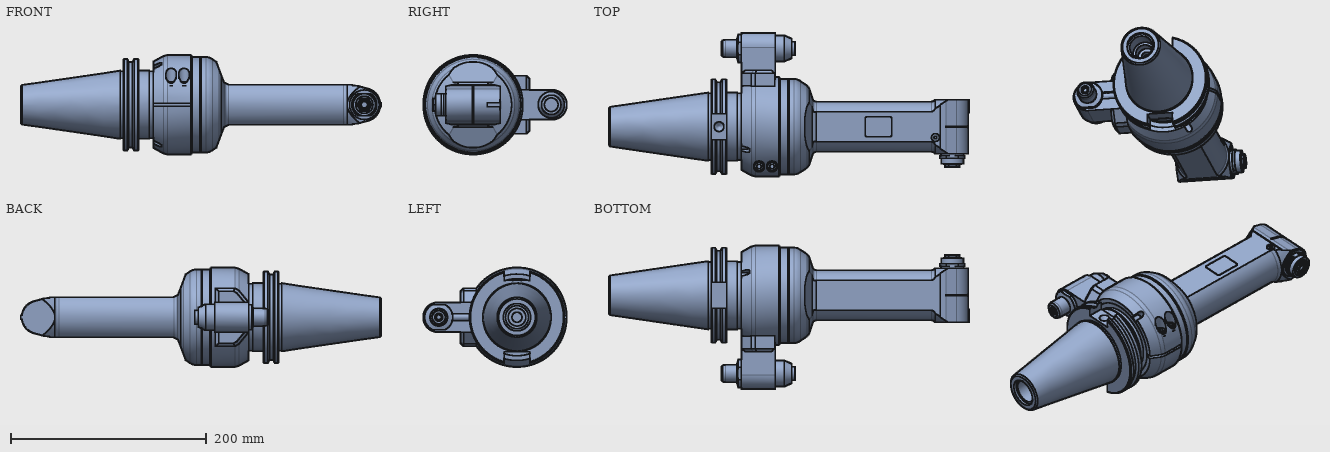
import cadquery as cq
import math


total_length = 368.5
taper_length = 101.7
flange_start = 104.5
flange_end = 121.0
relief_start = 131.2
collar_start = 135.5
collar_end = 175.5
tube_start = 212.3
head_start = 333.5

taper_ratio = 7 / 24
gauge_radius = 35.0
taper_tip_radius = gauge_radius - taper_length * taper_ratio / 2
tip_chamfer = 1.5
neck_radius = 35.0
relief_radius = 34.3
flange_radius = 48.5
flange_chamfer = 1.0
vee_center = 112.5
vee_depth = 3.0
vee_floor_width = 3.7
vee_half_mouth = vee_floor_width / 2 + vee_depth * math.tan(math.radians(30))
key_slot_width = 26.0
key_floor_top = 37.5
key_floor_bottom = 35.5
key_dimple_diameter = 10.0
key_dimple_depth = 3.7
drawbar_steps = [(28.0, 3.5), (23.5, 22.0), (18.0, 33.0), (10.5, 40.5)]

collar_radius = 51.05
collar_face_radius = 44.2
collar_shoulder_radius = 49.8
collar_shoulder_x = 145.5
collar_crown_x = 150.0
collar_back_chamfer = 2.0
spigot_radius = 39.5
slit_width = 3.0
screw_xs = (153.5, 167.0)
screw_y = -40.5
screw_pocket_diameter = 11.0
screw_pocket_floor = 19.0
screw_head_diameter = 9.0
screw_head_top = 23.5
screw_socket_size = 5.0
screw_socket_depth = 3.0
mark_width = 6.0
mark_end_x = 144.0
mark_floor_radius = 40.5
mark_angle = 30.0

arm_end_x = 170.3
arm_thickness = 30.5
arm_tip_y = 96.0
arm_round_start_y = 81.5
shoulder_end_x = 169.5
shoulder_y = 58.0
shoulder_half_height = 30.0
shoulder_chamfer = 3.5
shoulder_slope_z = 27.3
arm_rod_radius = 3.7

pin_y = 80.0
pin_tip_x = 115.0
pin_radius = 9.03
pin_tip_radius = 6.5
pin_lead_x, pin_lead_radius = 116.5, 8.5
pin_lead_end_x = 119.0
pin_flange_start = 131.0
pin_flange_cone = 1.5
pin_flange_radius = 14.5
pin_flange_flats = 25.8
pin_socket_steps = [(8.0, 0.7), (5.0, 3.0)]
pin_cap_radius = 13.45
pin_cap_x = 179.5
pin_cone_x = 187.2
pin_cone_radius = 10.0
pin_button_x = 190.5
pin_button_radius = 7.0

bell_radius = 49.0
bell_groove_start = 183.0
bell_groove_width = 1.0
bell_groove_depth = 0.7
bell_round_x = 189.0
bell_cone_x, bell_cone_radius = 195.7, 46.8
bell_cone_end_x, bell_cone_end_radius = 202.5, 42.5
bell_shoulder_x, bell_shoulder_radius = 205.0, 39.5
bell_neck_x = 208.5
bell_neck_radius = 28.5
tube_radius = 25.8
tube_half_height = 20.5
facet_top_x, facet_top_z = 200.0, 43.5
facet_foot_x, facet_foot_z = 208.0, 23.0
plate_x, plate_length, plate_width = 275.5, 27.3, 20.3
plate_corner = 2.0
plate_depth = 0.5

head_half_width = 27.5
head_fillet_length = 3.7
head_cone_end_x = 350.0
head_cone_end_radius = 35.0
head_step_x, head_step_z = 339.0, 20.0
head_bend_x, head_bend_z = 344.5, 19.35
head_nose_center_x = 350.5
head_nose_radius = 17.15
nose_pad_height = 4.5
nose_pad_inner_y = 14.5
seam_width = 1.0
seam_depth = 0.7
cover_screw_x, cover_screw_y = 334.0, -11.0
cover_screw_diameter = 8.0
cover_screw_depth = 1.0
cover_socket_diameter = 3.0
cover_socket_depth = 3.0

recess_radius = 15.0
recess_depth = 0.7

spindle_x = 351.2
spindle_steps = [(11.8, 2.2), (13.0, 2.5), (11.5, 5.5), (9.0, 0.5)]
spindle_flats = 23.0
spindle_seat_radius = 11.8
spindle_seat_depth = 3.7
spindle_hex_diameter = 15.0
spindle_reach = 41.3
spindle_bores = [(12.0, 1.0), (10.0, 2.2), (8.0, 3.5), (6.5, 6.5)]


def revolve_about_x(outline):
    """Turn a closed (x, radius) outline about the X axis."""
    return outline.revolve(360, (0, 0, 0), (1, 0, 0))


def cylinder_x(start, end, radius, y=0.0):
    """Plain cylinder lying along X."""
    return cq.Workplane("YZ", origin=(start, y, 0)).circle(radius).extrude(end - start)


def box_between(x0, x1, y0, y1, z0, z1):
    """Axis-aligned box between two corners."""
    return cq.Workplane("XY").box(x1 - x0, y1 - y0, z1 - z0, centered=False).translate((x0, y0, z0))


def make_shank():
    outline = (
        cq.Workplane("XY")
        .moveTo(0, 0)
        .lineTo(0, taper_tip_radius - tip_chamfer)
        .lineTo(tip_chamfer, taper_tip_radius + tip_chamfer * taper_ratio / 2)
        .lineTo(taper_length, gauge_radius)
        .lineTo(taper_length, relief_radius)
        .lineTo(flange_start, relief_radius)
        .lineTo(flange_start, flange_radius - flange_chamfer)
        .lineTo(flange_start + flange_chamfer, flange_radius)
        .lineTo(vee_center - vee_half_mouth, flange_radius)
        .lineTo(vee_center - vee_floor_width / 2, flange_radius - vee_depth)
        .lineTo(vee_center + vee_floor_width / 2, flange_radius - vee_depth)
        .lineTo(vee_center + vee_half_mouth, flange_radius)
        .lineTo(flange_end - flange_chamfer, flange_radius)
        .lineTo(flange_end, flange_radius - flange_chamfer)
        .lineTo(flange_end, neck_radius)
        .lineTo(relief_start, neck_radius)
        .lineTo(relief_start, relief_radius)
        .lineTo(collar_start, relief_radius)
        .lineTo(collar_start, 0)
        .close()
    )
    shank = revolve_about_x(outline)

    half_slot = key_slot_width / 2
    upper_slot = box_between(flange_start, flange_end, -half_slot, half_slot, key_floor_top, flange_radius)
    lower_slot = box_between(
        flange_start, flange_end, -half_slot, half_slot, -flange_radius, -key_floor_bottom,
    )
    dimple = cq.Workplane(
        cq.Solid.makeCone(
            key_dimple_diameter / 2, 0, key_dimple_depth,
            pnt=cq.Vector((flange_start + flange_end) / 2, 0, key_floor_top), dir=cq.Vector(0, 0, -1),
        )
    )
    shank = shank.cut(upper_slot).cut(lower_slot).cut(dimple)

    for diameter, depth in drawbar_steps:
        shank = shank.cut(cylinder_x(0, depth, diameter / 2))
    return shank


def make_collar_ring():
    outline = (
        cq.Workplane("XY")
        .moveTo(collar_start, 0)
        .lineTo(collar_start, collar_face_radius)
        .lineTo(collar_shoulder_x, collar_shoulder_radius)
        .lineTo(collar_crown_x, collar_radius)
        .lineTo(collar_end - collar_back_chamfer, collar_radius)
        .lineTo(collar_end, collar_radius - collar_back_chamfer)
        .lineTo(collar_end, 0)
        .close()
    )
    return revolve_about_x(outline)


def make_arm():
    """Wide sloped shoulder plus the round-ended arm that carries the locating pin."""
    half = arm_thickness / 2
    shoulder = (
        cq.Workplane("XZ")
        .moveTo(collar_start, -half)
        .lineTo(collar_start, half)
        .lineTo(collar_shoulder_x, shoulder_slope_z)
        .lineTo(collar_crown_x, shoulder_half_height)
        .lineTo(shoulder_end_x, shoulder_half_height)
        .lineTo(shoulder_end_x, -shoulder_half_height)
        .lineTo(collar_crown_x, -shoulder_half_height)
        .lineTo(collar_shoulder_x, -shoulder_slope_z)
        .close()
        .extrude(-shoulder_y)
    )
    shoulder = shoulder.faces(">Y").edges("(not |Z) or >X").chamfer(shoulder_chamfer)

    arm = (
        cq.Workplane("YZ", origin=(collar_start, 0, 0))
        .moveTo(0, -half)
        .lineTo(arm_round_start_y, -half)
        .threePointArc((arm_tip_y, 0), (arm_round_start_y, half))
        .lineTo(0, half)
        .close()
        .extrude(arm_end_x - collar_start)
    )
    return shoulder.union(arm)


def make_collar():
    collar = make_collar_ring().union(make_arm())
    rod_bed = box_between(
        collar_start, collar_start + arm_rod_radius,
        collar_face_radius, pin_y, -arm_rod_radius, arm_rod_radius,
    )
    rod = (
        cq.Workplane("XZ", origin=(collar_start + arm_rod_radius, collar_face_radius, 0))
        .circle(arm_rod_radius)
        .extrude(collar_face_radius - pin_y)
    )
    slit = box_between(
        collar_start, collar_end - collar_back_chamfer,
        -collar_radius, 0, -slit_width / 2, slit_width / 2,
    )
    collar = collar.cut(rod_bed).union(rod).cut(slit)

    for x in screw_xs:
        pocket = (
            cq.Workplane("XY", origin=(x, screw_y, screw_pocket_floor))
            .circle(screw_pocket_diameter / 2)
            .extrude(collar_radius)
        )
        head = (
            cq.Workplane("XY", origin=(x, screw_y, screw_pocket_floor))
            .circle(screw_head_diameter / 2)
            .extrude(screw_head_top - screw_pocket_floor)
        )
        socket = (
            cq.Workplane("XY", origin=(x, screw_y, screw_head_top))
            .polygon(6, screw_socket_size)
            .extrude(-screw_socket_depth)
        )
        collar = collar.cut(pocket).union(head).cut(socket)

    straight = box_between(
        collar_start, mark_end_x - mark_width / 2,
        -mark_width / 2, mark_width / 2, mark_floor_radius, collar_radius,
    )
    round_end = (
        cq.Workplane("XY", origin=(mark_end_x - mark_width / 2, 0, mark_floor_radius))
        .circle(mark_width / 2)
        .extrude(collar_radius - mark_floor_radius)
    )
    index_slot = straight.union(round_end)
    for angle in (mark_angle, 180 - mark_angle):
        collar = collar.cut(index_slot.rotate((0, 0, 0), (1, 0, 0), angle))

    bore = cylinder_x(collar_start, collar_end, spigot_radius)
    return collar.cut(bore).cut(cylinder_x(collar_start, arm_end_x, pin_radius, pin_y))


def make_pin():
    outline = (
        cq.Workplane("XY")
        .moveTo(pin_tip_x, 0)
        .lineTo(pin_tip_x, pin_tip_radius)
        .lineTo(pin_lead_x, pin_lead_radius)
        .lineTo(pin_lead_end_x, pin_radius)
        .lineTo(pin_flange_start, pin_radius)
        .lineTo(pin_flange_start + pin_flange_cone, pin_flange_radius)
        .lineTo(collar_start, pin_flange_radius)
        .lineTo(collar_start, pin_radius)
        .lineTo(arm_end_x, pin_radius)
        .lineTo(arm_end_x, pin_cap_radius)
        .lineTo(pin_cap_x, pin_cap_radius)
        .lineTo(pin_cone_x, pin_cone_radius)
        .lineTo(pin_cone_x, pin_button_radius)
        .lineTo(pin_button_x, pin_button_radius)
        .lineTo(pin_button_x, 0)
        .close()
    )
    pin = revolve_about_x(outline)
    half_flats = pin_flange_flats / 2
    flat = box_between(
        pin_flange_start, collar_start, -pin_flange_radius, pin_flange_radius, half_flats, pin_flange_radius,
    )
    pin = pin.cut(flat).cut(flat.mirror("XY"))
    for diameter, depth in pin_socket_steps:
        pin = pin.cut(cylinder_x(pin_tip_x, pin_tip_x + depth, diameter / 2))
    return pin.translate((0, pin_y, 0))


def make_bell_and_tube():
    """Spigot, bell and round tube, with flats along the top and bottom of the tube."""
    groove_end = bell_groove_start + bell_groove_width
    outline = (
        cq.Workplane("XY")
        .moveTo(collar_start, 0)
        .lineTo(collar_start, spigot_radius)
        .lineTo(collar_end, spigot_radius)
        .lineTo(collar_end, bell_radius)
        .lineTo(bell_groove_start, bell_radius)
        .lineTo(bell_groove_start, bell_radius - bell_groove_depth)
        .lineTo(groove_end, bell_radius - bell_groove_depth)
        .lineTo(groove_end, bell_radius)
        .lineTo(bell_round_x, bell_radius)
        .tangentArcPoint((bell_cone_x, bell_cone_radius), relative=False)
        .lineTo(bell_cone_end_x, bell_cone_end_radius)
        .lineTo(bell_shoulder_x, bell_shoulder_radius)
        .lineTo(bell_neck_x, bell_neck_radius)
        .tangentArcPoint((tube_start, tube_radius), relative=False)
        .lineTo(head_start - head_fillet_length, tube_radius)
        .tangentArcPoint((head_start, head_half_width), relative=False)
        .lineTo(head_start, 0)
        .close()
    )
    body = revolve_about_x(outline)

    flat_outline = (
        cq.Workplane("XZ", origin=(0, -bell_radius, 0))
        .moveTo(facet_top_x, facet_top_z)
        .lineTo(facet_foot_x, facet_foot_z)
        .lineTo(tube_start, tube_half_height)
        .lineTo(total_length, tube_half_height)
        .lineTo(total_length, bell_radius)
        .lineTo(facet_top_x, bell_radius)
        .close()
        .extrude(-2 * bell_radius)
    )
    return body.cut(flat_outline).cut(flat_outline.mirror("XY"))


def make_head():
    """Side outline with a round nose, trimmed by a cone where it meets the tube."""
    nose_end_x = head_nose_center_x + head_nose_radius
    bend_distance = math.hypot(head_bend_x - head_nose_center_x, head_bend_z)
    bend_angle = math.atan2(head_bend_z, head_bend_x - head_nose_center_x)
    tangent_angle = bend_angle - math.acos(head_nose_radius / bend_distance)
    tangent_x = head_nose_center_x + head_nose_radius * math.cos(tangent_angle)
    tangent_z = head_nose_radius * math.sin(tangent_angle)

    side_outline = (
        cq.Workplane("XZ", origin=(0, -head_half_width, 0))
        .moveTo(head_start, -tube_half_height)
        .lineTo(head_start, tube_half_height)
        .lineTo(head_step_x, tube_half_height)
        .lineTo(head_step_x, head_step_z)
        .lineTo(head_bend_x, head_bend_z)
        .lineTo(tangent_x, tangent_z)
        .threePointArc((nose_end_x, 0), (tangent_x, -tangent_z))
        .lineTo(head_bend_x, -head_bend_z)
        .lineTo(head_step_x, -head_step_z)
        .lineTo(head_step_x, -tube_half_height)
        .close()
        .val()
    )
    head_width = 2 * head_half_width
    side_plane = cq.Workplane("XZ", origin=(0, -head_half_width, 0))
    head = side_plane.newObject([side_outline]).toPending().extrude(-head_width)
    seam_core = side_plane.newObject([side_outline]).toPending().offset2D(-seam_depth).extrude(-head_width)
    trim = revolve_about_x(
        cq.Workplane("XY")
        .moveTo(head_start, 0)
        .lineTo(head_start, head_half_width)
        .lineTo(head_cone_end_x, head_cone_end_radius)
        .lineTo(total_length, head_cone_end_radius)
        .lineTo(total_length, 0)
        .close()
    )
    head = head.intersect(trim)

    seam = box_between(
        head_bend_x, total_length, -seam_width / 2, seam_width / 2,
        -tube_half_height, tube_half_height,
    )
    head = head.cut(seam.cut(seam_core))

    pad = box_between(
        head_nose_center_x, total_length, nose_pad_inner_y, head_half_width,
        -nose_pad_height / 2, nose_pad_height / 2,
    )
    return head.union(pad)


def make_housing(spindle):
    housing = make_bell_and_tube().union(make_head())
    plate = (
        cq.Workplane("XY", origin=(plate_x, 0, tube_half_height - plate_depth))
        .rect(plate_length, plate_width)
        .extrude(plate_depth)
        .edges("|Z")
        .fillet(plate_corner)
    )
    cover_screw = (
        cq.Workplane("XY", origin=(cover_screw_x, cover_screw_y, tube_half_height))
        .circle(cover_screw_diameter / 2)
        .extrude(-cover_screw_depth)
    )
    cover_socket = (
        cq.Workplane("XY", origin=(cover_screw_x, cover_screw_y, tube_half_height))
        .circle(cover_socket_diameter / 2)
        .extrude(-cover_socket_depth)
    )
    recess = (
        cq.Workplane("XZ", origin=(spindle_x, -head_half_width, 0))
        .circle(recess_radius)
        .extrude(-recess_depth)
    )
    return housing.cut(plate).cut(cover_screw).cut(cover_socket).cut(recess).cut(spindle)


def make_spindle():
    """Stepped collet nose on the -Y face of the head."""
    def along_minus_y(start):
        return cq.Workplane("XZ", origin=(spindle_x, -start, 0))

    face = head_half_width
    spindle = along_minus_y(face - spindle_seat_depth).circle(spindle_seat_radius).extrude(spindle_seat_depth)
    for radius, length in spindle_steps:
        spindle = spindle.union(along_minus_y(face).circle(radius).extrude(length))
        face += length
    between_flats = box_between(
        spindle_x - recess_radius, spindle_x + recess_radius, -spindle_reach, 0,
        -spindle_flats / 2, spindle_flats / 2,
    )
    spindle = spindle.intersect(between_flats)
    hexagon = along_minus_y(face).polygon(6, spindle_hex_diameter).extrude(spindle_reach - face)
    spindle = spindle.union(hexagon)
    for diameter, depth in spindle_bores:
        spindle = spindle.cut(along_minus_y(spindle_reach).circle(diameter / 2).extrude(-depth))
    return spindle


shank = make_shank()
pin = make_pin()
spindle = make_spindle()
housing = make_housing(spindle)
collar = make_collar()

bodies = [shank, collar, housing, pin, spindle]
result = cq.Compound.makeCompound([body.solids().val() for body in bodies])